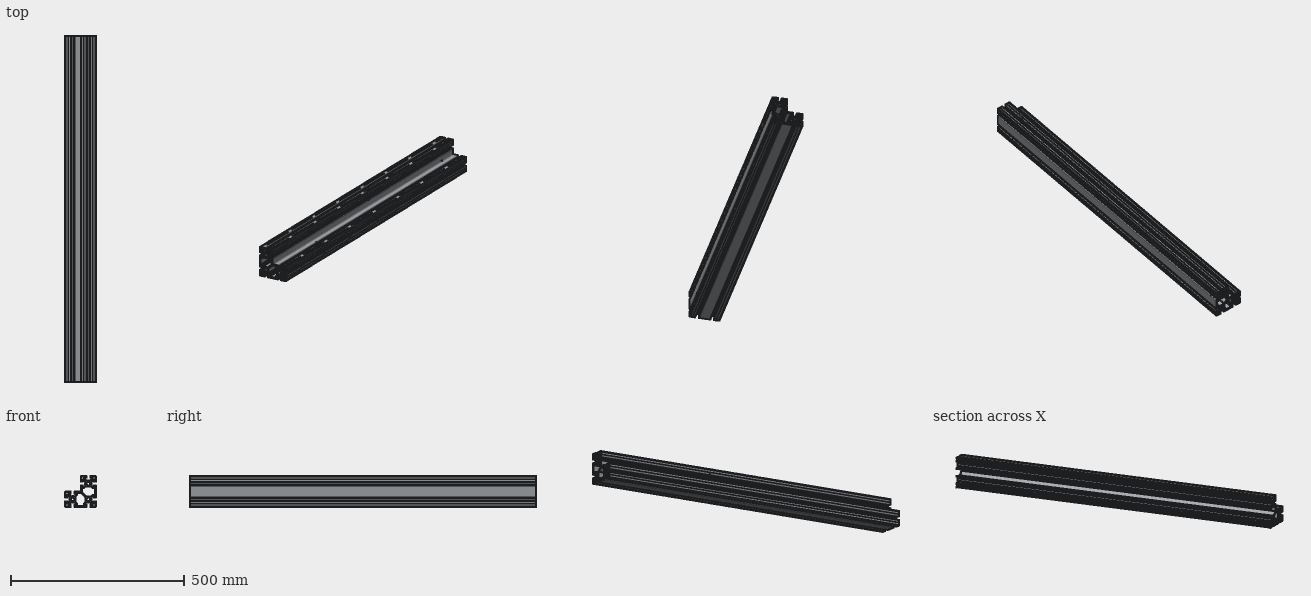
import cadquery as cq
import math

length = 1000.0
cell = 45.0
edge_radius = 3.0
inner_radius = 0.5

slot_width = 10.0
mouth_radius = 1.5
lip_depth = 6.0
cavity_width = 19.0
straight_depth = 9.0
floor_width = 12.0
slot_depth = 13.5
bead_width = 6.0
bead_height = 1.0

bore_diameter = 10.0
corner_wall = 2.5
hollow_size = 7.5
outer_wall = 4.5
flank_wall = 3.0
hub_wall_half = 9.5
rib_thickness = 3.0

half_cell = cell / 2
hub_half = half_cell - slot_depth

left_hub = (-half_cell, -half_cell)
elbow_hub = (half_cell, -half_cell)
upper_hub = (half_cell, half_cell)

LEFT, UP, RIGHT, DOWN = 180, 90, 0, 270


def prism(points):
    """Extrude a closed X-Z outline over the full length."""
    return cq.Workplane("XZ").polyline(points).close().extrude(length / 2, both=True)


def rods(centers, radius):
    """Round bars over the full length at the given X-Z points."""
    return cq.Workplane("XZ").pushPoints(centers).circle(radius).extrude(length / 2, both=True)


def place(points, center, angle):
    """Turn points about the origin, then move them to a cell centre."""
    c = math.cos(math.radians(angle))
    s = math.sin(math.radians(angle))
    return [(center[0] + c * x - s * z, center[1] + s * x + c * z) for x, z in points]


def swap_arms(points):
    """Mirror points across the diagonal that exchanges the two arms of the L."""
    return [(-z, -x) for x, z in points]


def l_blank():
    """Solid L of three cells with rounded convex edges."""
    outline = [
        (-cell, -cell),
        (cell, -cell),
        (cell, cell),
        (0, cell),
        (0, 0),
        (-cell, 0),
    ]
    inner_corner = cq.selectors.BoxSelector(
        (-edge_radius, -length, -edge_radius), (edge_radius, length, edge_radius)
    )
    convex_edges = cq.selectors.SubtractSelector(cq.StringSyntaxSelector("|Y"), inner_corner)
    blank = prism(outline).edges(convex_edges).fillet(edge_radius)
    return blank.edges(inner_corner).fillet(inner_radius)


def t_slot(center, angle):
    """T-slot opening through the cell side that faces the given angle."""
    lip = half_cell - lip_depth
    taper = half_cell - straight_depth
    upper_half = [
        (half_cell, slot_width / 2),
        (lip, slot_width / 2),
        (lip, cavity_width / 2),
        (taper, cavity_width / 2),
        (hub_half, floor_width / 2),
    ]
    lower_half = [(x, -z) for x, z in reversed(upper_half)]
    return prism(place(upper_half + lower_half, center, angle))


def round_mouth(body, center, angle):
    """Round the two outer lip edges of a T-slot."""
    lips = [(half_cell, slot_width / 2), (half_cell, -slot_width / 2)]
    for x, z in place(lips, center, angle):
        edge = cq.selectors.NearestToPointSelector((x, 0, z))
        body = body.edges("|Y").edges(edge).fillet(mouth_radius)
    return body


def floor_bead(center, angle):
    """Shallow convex bead along the middle of a T-slot floor."""
    radius = ((bead_width / 2) ** 2 + bead_height ** 2) / (2 * bead_height)
    axis = place([(hub_half + bead_height - radius, 0)], center, angle)
    return rods(axis, radius)


def corner_hollow(center, angle):
    """Square hollow in the outer corner of a cell, 45 degrees past the given angle."""
    outer = half_cell - corner_wall
    inner = outer - hollow_size
    square = [(inner, inner), (outer, inner), (outer, outer), (inner, outer)]
    return prism(place(square, center, angle))


def chamber_outline():
    """Chamber between the left hub and the elbow hub, with the rib side cut at 45 degrees."""
    side = slot_depth
    flank = half_cell - cavity_width / 2 - flank_wall
    corner_drop = side - flank
    floor = -cell + outer_wall
    ceiling = -outer_wall
    wall_bottom = -half_cell - hub_wall_half
    wall_top = -half_cell + hub_wall_half
    rib_offset = rib_thickness / math.sqrt(2)
    return [
        (-flank, floor),
        (flank, floor),
        (flank, wall_bottom - corner_drop),
        (side, wall_bottom),
        (side, -side - rib_offset),
        (outer_wall - rib_offset, ceiling),
        (-flank, ceiling),
        (-flank, wall_top + corner_drop),
        (-side, wall_top),
        (-side, wall_bottom),
        (-flank, wall_bottom - corner_drop),
    ]


slots = [
    (left_hub, LEFT),
    (left_hub, UP),
    (left_hub, DOWN),
    (elbow_hub, RIGHT),
    (elbow_hub, DOWN),
    (upper_hub, LEFT),
    (upper_hub, UP),
    (upper_hub, RIGHT),
]

hollow_corners = [
    (left_hub, UP),
    (left_hub, LEFT),
    (elbow_hub, DOWN),
    (upper_hub, RIGHT),
    (upper_hub, UP),
]

result = l_blank()

for hub, direction in slots:
    result = result.cut(t_slot(hub, direction))
    result = round_mouth(result, hub, direction)
    result = result.union(floor_bead(hub, direction))

for hub, direction in hollow_corners:
    result = result.cut(corner_hollow(hub, direction))

chamber = chamber_outline()
result = result.cut(prism(chamber)).cut(prism(swap_arms(chamber)))

result = result.cut(rods([left_hub, elbow_hub, upper_hub], bore_diameter / 2))